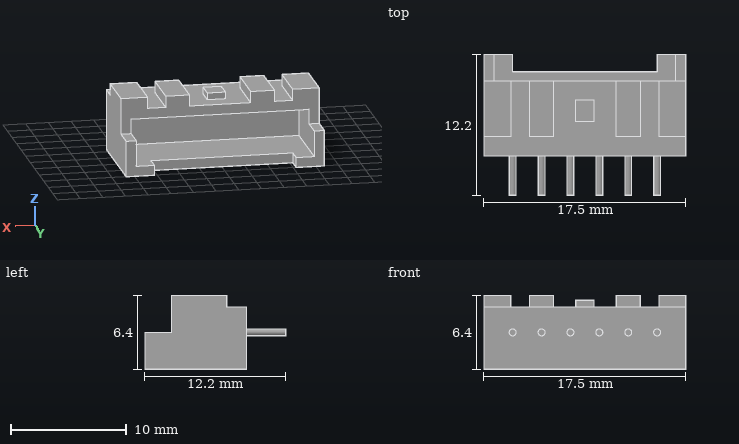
import cadquery as cq

housing_width = 17.5
housing_depth = 8.8
housing_height = 5.4
roof_setback = 2.3
side_wall_top = 3.2

wall_thickness = 0.9
back_wall_thickness = 2.0

cutout_width = 12.5
cutout_depth = 1.5

rib_height = 1.0
rib_setback = 1.7
end_rib_width = 2.35
inner_rib_width = 2.1
inner_rib_offset = 3.75
pad_width = 1.6
pad_length = 1.85
pad_height = 0.6
pad_setback = 3.0

pin_count = 6
pin_pitch = 2.5
pin_diameter = 0.6
pin_length = 3.4
pin_z = 3.2

roof_end_y = housing_depth - roof_setback


def block(center_x, width, y_start, y_end, z_start, z_end):
    """Box centred on center_x, spanning the given Y and Z ranges."""
    return (
        cq.Workplane("XY")
        .box(width, y_end - y_start, z_end - z_start, centered=(True, False, False))
        .translate((center_x, y_start, z_start))
    )


def make_housing():
    """Stepped housing with a socket and a cutout at its mating end."""
    profile = [
        (0, 0),
        (housing_depth, 0),
        (housing_depth, side_wall_top),
        (roof_end_y, side_wall_top),
        (roof_end_y, housing_height),
        (0, housing_height),
    ]
    shell = (
        cq.Workplane("YZ")
        .polyline(profile)
        .close()
        .extrude(housing_width / 2, both=True)
    )
    socket = block(
        0,
        housing_width - 2 * wall_thickness,
        back_wall_thickness,
        housing_depth,
        wall_thickness,
        housing_height - wall_thickness,
    )
    cutout = block(0, cutout_width, housing_depth - cutout_depth, housing_depth, 0, side_wall_top)
    return shell.cut(socket).cut(cutout)


def make_rib(center_x, width):
    """Rib on the roof, flush with the roof's mating edge."""
    return block(center_x, width, rib_setback, roof_end_y, housing_height, housing_height + rib_height)


def make_pad():
    """Small raised pad in the middle of the roof."""
    return block(
        0, pad_width, pad_setback, pad_setback + pad_length, housing_height, housing_height + pad_height
    )


def make_pin(center_x):
    """Round pin running from the socket side of the back wall to its free end."""
    return (
        cq.Workplane("XZ", origin=(center_x, back_wall_thickness, pin_z))
        .circle(pin_diameter / 2)
        .extrude(back_wall_thickness + pin_length)
    )


result = make_housing().union(make_pad())

end_rib_offset = (housing_width - end_rib_width) / 2
for side in (-1, 1):
    result = result.union(make_rib(side * end_rib_offset, end_rib_width))
    result = result.union(make_rib(side * inner_rib_offset, inner_rib_width))

for index in range(pin_count):
    result = result.union(make_pin((index - (pin_count - 1) / 2) * pin_pitch))